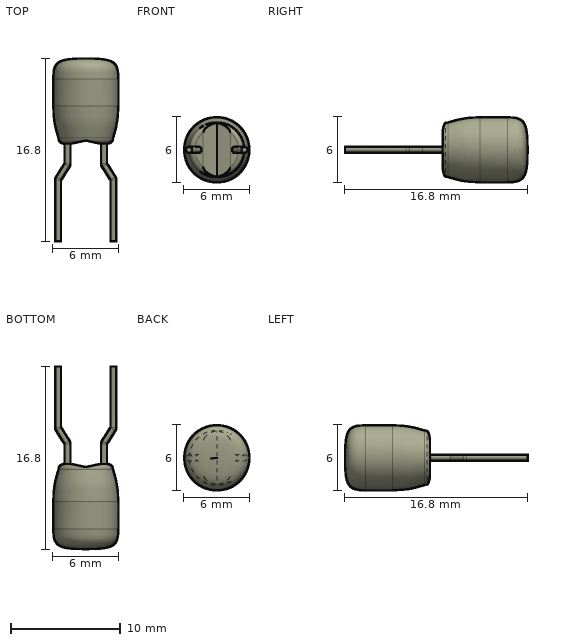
import cadquery as cq
import math

body_length = 7.81
body_radius = 3.0
band_start = 3.45
band_end = 5.93
rim_fillet = 0.5
rim_radius = 2.51
dome_side_control_y = 7.55
dome_end_control_radius = 2.51

groove_half_width = 1.24
groove_depth = 0.27

total_length = 16.76
lead_radius = 0.28
lead_inner_x = 1.68
lead_outer_x = 2.53
lead_embed = 0.84
bend_radius = 0.3
bend_start_y = -1.83
bend_end_y = -3.35
lead_tip_y = body_length - total_length
flare_size = 0.07


def make_body():
    """Revolve the barrel profile: rim fillet, taper, straight band and dome."""
    face_radius = rim_radius - rim_fillet
    diagonal = rim_fillet * math.sqrt(0.5)
    fillet_mid = (face_radius + diagonal, rim_fillet - diagonal)
    dome_controls = [
        (body_radius, band_end),
        (body_radius, dome_side_control_y),
        (dome_end_control_radius, body_length),
        (0, body_length),
    ]
    taper_length = band_start - rim_fillet
    taper_depth = body_radius - rim_radius
    taper_curve = (taper_length**2 + taper_depth**2) / (2 * taper_depth)
    half_turn = math.asin(taper_length / taper_curve) / 2
    taper_mid = (
        body_radius - taper_curve * (1 - math.cos(half_turn)),
        band_start - taper_curve * math.sin(half_turn),
    )
    profile = (
        cq.Workplane("XY")
        .lineTo(face_radius, 0)
        .threePointArc(fillet_mid, (rim_radius, rim_fillet))
        .threePointArc(taper_mid, (body_radius, band_start))
        .lineTo(body_radius, band_end)
        .bezier(dome_controls)
        .close()
    )
    return profile.revolve(360, (0, 0, 0), (0, 1, 0))


def make_groove():
    """V-shaped prism running along Z over the full width of the body."""
    outline = [(-groove_half_width, 0), (0, groove_depth), (groove_half_width, 0)]
    return cq.Workplane("XY").polyline(outline).close().extrude(body_radius, both=True)


def make_lead():
    """Sweep the +X lead along straight runs joined by two rounded bends."""
    offset = lead_outer_x - lead_inner_x
    drop = bend_start_y - bend_end_y
    slant_length = math.sqrt(offset**2 + drop**2 - 4 * bend_radius * offset)
    angle = math.atan2(offset - 2 * bend_radius, drop) + math.atan2(2 * bend_radius, slant_length)

    def arc_step(turn):
        return bend_radius * (1 - math.cos(turn)), bend_radius * math.sin(turn)

    mid_x, mid_y = arc_step(angle / 2)
    end_x, end_y = arc_step(angle)
    path = (
        cq.Workplane("XY")
        .moveTo(lead_inner_x, lead_embed)
        .lineTo(lead_inner_x, bend_start_y)
        .threePointArc(
            (lead_inner_x + mid_x, bend_start_y - mid_y),
            (lead_inner_x + end_x, bend_start_y - end_y),
        )
        .lineTo(lead_outer_x - end_x, bend_end_y + end_y)
        .threePointArc(
            (lead_outer_x - mid_x, bend_end_y + mid_y),
            (lead_outer_x, bend_end_y),
        )
        .lineTo(lead_outer_x, lead_tip_y)
    )
    section = cq.Workplane("XZ", origin=(lead_inner_x, lead_embed, 0)).circle(lead_radius)
    return section.sweep(path)


def make_flare():
    """Concave coating fillet where the +X lead leaves the end face."""
    outer = lead_radius + flare_size
    reach = flare_size * (1 - math.sqrt(0.5))
    profile = (
        cq.Workplane("XY", origin=(lead_inner_x, 0, 0))
        .moveTo(0, flare_size)
        .lineTo(outer, flare_size)
        .lineTo(outer, 0)
        .threePointArc((lead_radius + reach, -reach), (lead_radius, -flare_size))
        .lineTo(0, -flare_size)
        .close()
    )
    return profile.revolve(360, (0, 0, 0), (0, 1, 0))


result = make_body().cut(make_groove())
lead = make_lead().union(make_flare())
for wire in (lead, lead.mirror("YZ")):
    result = result.union(wire)